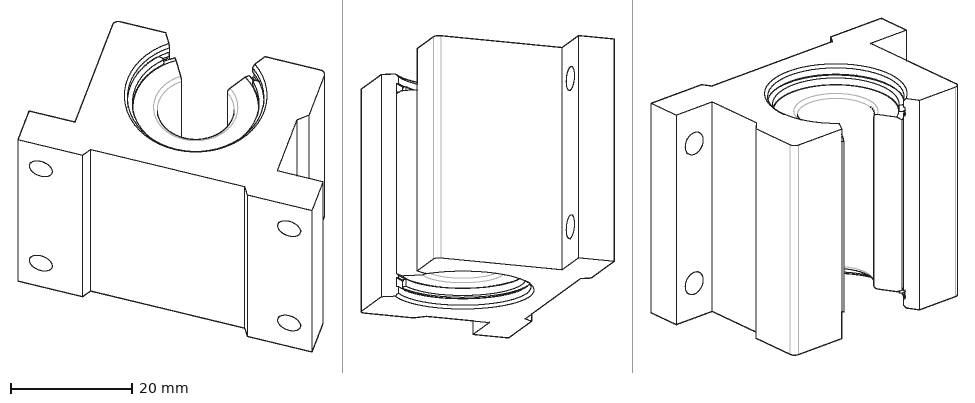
import cadquery as cq
import math


block_width = 50.8
block_height = 28.55
block_length = 38.1
axis_height = 17.35
flange_thickness = 6.3
body_half_width = 17.5
clamp_side_half_width = 19.1
corner_radius = 0.95

relief_depth = 1.5
relief_half_width_outer = 14.2
relief_half_width_inner = 13.3

mount_hole_diameter = 3.95
mount_hole_spacing_x = 42.9
mount_hole_spacing_z = 25.4

seat_radius = 11.3
bushing_length = 31.75
bushing_bore_radius = 6.35
bushing_bore_fillet = 0.6
bushing_rim_chamfer_radial = 0.9
bushing_rim_chamfer_axial = 0.4

seat_chamfer = 0.5
groove_width = 1.5
groove_radius = seat_radius + 0.3

ring_thickness = 1.2
ring_inner_radius = 10.45
ring_end_fillet = 1.0
ring_gap_half_angle = 47.0

opening_half_angle = 30.0
block_flank_offset = 1.85
bushing_flank_offset = 0.9

mount_y = -axis_height
flange_y = mount_y + flange_thickness
relief_y = mount_y + relief_depth
top_y = mount_y + block_height
step_height = clamp_side_half_width - body_half_width
ENDS = (-1, 1)


def cylinder(radius, length, center_z=0.0):
    """Cylinder along Z, centred on center_z."""
    return cq.Workplane("XY", origin=(0, 0, center_z)).circle(radius).extrude(length / 2, both=True)


def opening_wedge(half_angle, flank_offset):
    """Wedge widening towards +Y, long enough to cut through any of the bodies."""
    angle = math.radians(half_angle)
    apex_y = -flank_offset / math.sin(angle)
    half_spread = block_width * math.tan(angle)
    far_y = apex_y + block_width
    return (
        cq.Workplane("XY")
        .polyline([(0, apex_y), (half_spread, far_y), (-half_spread, far_y)])
        .close()
        .extrude(block_length / 2, both=True)
    )


def make_block_blank():
    half_width = block_width / 2
    outline = [
        (-half_width, mount_y),
        (-relief_half_width_outer, mount_y),
        (-relief_half_width_inner, relief_y),
        (relief_half_width_inner, relief_y),
        (relief_half_width_outer, mount_y),
        (half_width, mount_y),
        (half_width, flange_y),
        (body_half_width, flange_y),
        (body_half_width, 0),
        (clamp_side_half_width, step_height),
        (clamp_side_half_width, top_y),
        (-body_half_width, top_y),
        (-body_half_width, flange_y),
        (-half_width, flange_y),
    ]
    blank = cq.Workplane("XY").polyline(outline).close().extrude(block_length / 2, both=True)
    return blank.faces(">Y").edges("|Z").fillet(corner_radius)


def make_seat_cutter():
    """Space taken out of the block by the bearing seat, its end chamfers and ring grooves."""
    seat = cylinder(seat_radius, block_length)
    for end in ENDS:
        mouth = cq.Solid.makeCone(
            seat_radius + seat_chamfer,
            seat_radius,
            seat_chamfer,
            cq.Vector(0, 0, end * block_length / 2),
            cq.Vector(0, 0, -end),
        )
        groove = cylinder(groove_radius, groove_width, end * (bushing_length + groove_width) / 2)
        seat = seat.union(cq.Workplane(mouth)).union(groove)
    return seat


def make_mount_holes():
    return (
        cq.Workplane("XZ", origin=(0, mount_y, 0))
        .rarray(mount_hole_spacing_x, mount_hole_spacing_z, 2, 2)
        .circle(mount_hole_diameter / 2)
        .extrude(-flange_thickness)
    )


def make_housing():
    return (
        make_block_blank()
        .cut(make_seat_cutter())
        .cut(opening_wedge(opening_half_angle, block_flank_offset))
        .cut(make_mount_holes())
    )


def make_bushing():
    sleeve = (
        cylinder(seat_radius, bushing_length)
        .faces("|Z")
        .chamfer(bushing_rim_chamfer_axial, bushing_rim_chamfer_radial)
        .cut(cylinder(bushing_bore_radius, bushing_length))
    )
    bore_rims = cq.selectors.RadiusNthSelector(0)
    sleeve = sleeve.edges("%CIRCLE").edges(bore_rims).fillet(bushing_bore_fillet)
    return sleeve.cut(opening_wedge(opening_half_angle, bushing_flank_offset))


def make_retaining_ring(end):
    """Open ring with rounded outer corners; end is -1 or 1 for the end of the bushing."""
    center_z = end * (bushing_length + ring_thickness) / 2
    ring = (
        cylinder(groove_radius, ring_thickness, center_z)
        .cut(cylinder(ring_inner_radius, ring_thickness, center_z))
        .cut(opening_wedge(ring_gap_half_angle, 0))
    )
    gap_angle = math.radians(ring_gap_half_angle)
    corner_x = groove_radius * math.sin(gap_angle)
    corner_y = groove_radius * math.cos(gap_angle)
    for side in (-1, 1):
        corner = cq.selectors.NearestToPointSelector((side * corner_x, corner_y, center_z))
        ring = ring.edges("|Z").edges(corner).fillet(ring_end_fillet)
    return ring


housing = make_housing()
bushing = make_bushing()
retaining_rings = [make_retaining_ring(end) for end in ENDS]

result = cq.Compound.makeCompound(
    [housing.val(), bushing.val(), *[ring.val() for ring in retaining_rings]]
)